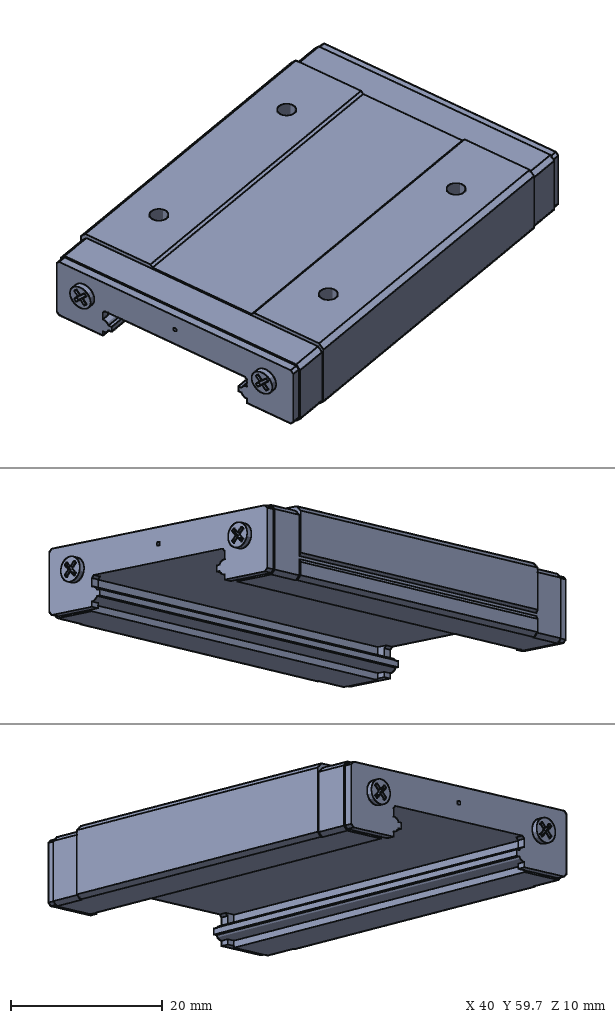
import cadquery as cq


overall_length = 59.7
plate_span = 58.0
case_span = 55.65
block_length = 46.1

block_width = 40.0
block_height = 10.0
block_top_chamfer = 0.7
case_width = 39.5
case_height = 9.45
case_chamfer = 0.65
bottom_chamfer = 0.6
plate_inset = 0.25
plate_width = case_width - 2 * plate_inset
plate_height = case_height - plate_inset
plate_chamfer = 0.4

recess_floor_width = 16.35
recess_depth = 0.35

groove_depth = (block_width - case_width) / 2
groove_bottom_z = 2.4
groove_top_z = 3.65
groove_slope_height = 0.4

channel_roof_z = 4.5
inner_channel_width = 26.0
plate_channel_width = 23.75
channel_corner_chamfer = 0.35

track_z = 1.95
track_radius = 1.0
track_center_x = plate_channel_width / 2
track_embedding = 0.3
track_root_x = inner_channel_width / 2 + track_embedding
retainer_tip_x = 10.45
retainer_thickness = 0.85

screw_spacing = 29.95
screw_z = 5.7
screw_diameter = 3.4
screw_height = (overall_length - plate_span) / 2
cross_length = 2.4
cross_width = 0.5
cross_depth = 0.5

port_diameter = 0.55
port_depth = 0.6
port_z = 6.9

hole_spacing = 27.95
hole_diameter = 2.5
hole_depth = 3.0
drill_cone_height = 0.7


def centered_box(width, length, bottom, top):
    """Box centered in X and Y between two heights."""
    return cq.Workplane("XY", origin=(0, 0, bottom)).rect(width, length).extrude(top - bottom)


def extrude_along_y(profile, length):
    """Extrude an XZ profile by half the length to both sides of Y = 0."""
    return profile.extrude(length / 2, both=True)


def body(width, length, bottom, top, top_chamfer, low_chamfer):
    """Bar along Y with chamfered upper and lower long edges."""
    bar = centered_box(width, length, bottom, top)
    bar = bar.faces(">Z").edges("|Y").chamfer(top_chamfer)
    return bar.faces("<Z").edges("|Y").chamfer(low_chamfer)


def both_sides(shape):
    """The shape together with its mirror image across the YZ plane."""
    return shape.union(shape.mirror("YZ"))


def make_block():
    block = body(block_width, block_length, 0, block_height, block_top_chamfer, bottom_chamfer)
    half_floor = recess_floor_width / 2
    floor_z = block_height - recess_depth
    recess = cq.Workplane("XZ").polyline([
        (-half_floor, floor_z),
        (half_floor, floor_z),
        (half_floor + recess_depth, block_height),
        (-half_floor - recess_depth, block_height),
    ]).close()
    side_x = -block_width / 2
    floor_x = side_x + groove_depth
    groove = cq.Workplane("XZ").polyline([
        (side_x, groove_bottom_z),
        (floor_x, groove_bottom_z + groove_slope_height),
        (floor_x, groove_top_z - groove_slope_height),
        (side_x, groove_top_z),
    ]).close()
    return block.cut(extrude_along_y(recess, block_length)).cut(extrude_along_y(groove, block_length))


def make_inner_carriage():
    """Block and end cases with the rail channel cut through them."""
    cases = body(case_width, case_span, 0, case_height, case_chamfer, bottom_chamfer)
    channel = centered_box(inner_channel_width, case_span, 0, channel_roof_z)
    return cases.union(make_block()).cut(channel)


def make_ball_tracks():
    """Round-nosed tracks with retainer strips, running through to the end plates."""
    track = (
        cq.Workplane("XZ")
        .moveTo(track_root_x, track_z + track_radius)
        .lineTo(track_center_x, track_z + track_radius)
        .threePointArc(
            (track_center_x - track_radius, track_z),
            (track_center_x, track_z - track_radius),
        )
        .lineTo(track_root_x, track_z - track_radius)
        .close()
    )
    retainer = (
        cq.Workplane("XZ")
        .center((retainer_tip_x + track_center_x) / 2, track_z)
        .rect(track_center_x - retainer_tip_x, retainer_thickness)
    )
    return both_sides(extrude_along_y(track, plate_span).union(extrude_along_y(retainer, plate_span)))


def make_end_plates():
    plates = body(plate_width, plate_span, plate_inset, plate_height, plate_chamfer, plate_chamfer)
    channel = centered_box(plate_channel_width, plate_span, 0, channel_roof_z)
    plates = plates.cut(channel.faces(">Z").edges("|Y").chamfer(channel_corner_chamfer))

    plates = plates.cut(centered_box(block_width, case_span, 0, block_height))

    port = extrude_along_y(cq.Workplane("XZ").center(0, port_z).circle(port_diameter / 2), plate_span)
    between_ports = centered_box(block_width, plate_span - 2 * port_depth, 0, block_height)
    return plates.cut(port.cut(between_ports))


def make_screw_head():
    """Cross-recessed head standing on the -Y end plate."""
    seat = cq.Workplane("XZ", origin=(screw_spacing / 2, -plate_span / 2, screw_z))
    head = seat.circle(screw_diameter / 2).extrude(screw_height)
    cross_floor = seat.workplane(offset=screw_height - cross_depth)
    for angle in (45, -45):
        arm = cross_floor.transformed(rotate=(0, 0, angle)).rect(cross_length, cross_width)
        head = head.cut(arm.extrude(cross_depth))
    return head


def make_mounting_holes():
    """Blind holes with a drill-point bottom."""
    radius = hole_diameter / 2
    shoulder_z = block_height - hole_depth
    hole = (
        cq.Workplane("XZ")
        .polyline([
            (0, block_height),
            (radius, block_height),
            (radius, shoulder_z),
            (0, shoulder_z - drill_cone_height),
        ])
        .close()
        .revolve(360, (0, 0, 0), (0, 1, 0))
    )
    return (
        cq.Workplane("XY")
        .rect(hole_spacing, hole_spacing, forConstruction=True)
        .vertices()
        .eachpoint(lambda place: hole.val().moved(place), combine=False)
    )


screw_pair = both_sides(make_screw_head())
result = make_inner_carriage().union(make_end_plates()).union(make_ball_tracks())
result = result.union(screw_pair).union(screw_pair.mirror("XZ"))
for mounting_hole in make_mounting_holes().vals():
    result = result.cut(cq.Workplane(mounting_hole))